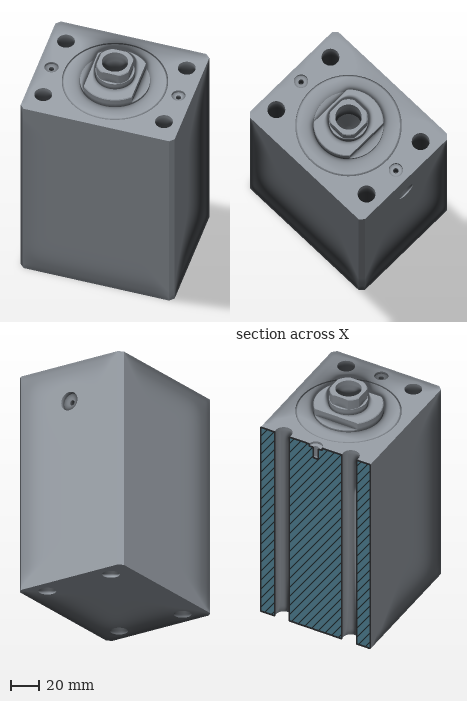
import cadquery as cq
import math

total_height = 184.9
body_length = 115.0
body_width = 90.0
body_height = 165.0
corner_chamfer = 3.1

bolt_hole_diameter = 12.8
bolt_spacing_x = 90.2
bolt_spacing_y = 55.1

port_drill_diameter = 3.9
port_drill_depth = 9.2
top_port_spacing = 94.9
top_port_diameter = 10.2
top_port_recess = 1.8
side_port_diameter = 14.0
side_port_recess = 3.7
side_port_height = 136.0

groove_diameter = 76.0
groove_depth = 1.3

rod_diameter = 50.1
rod_bottom = 111.0
rod_top = 172.0
rod_edge_chamfer = 0.5
rod_bore_chamfer = 0.4
wrench_flat_width = 35.9
wrench_flat_bottom = body_height + 1.3

shank_diameter = 28.0
shank_bottom = 149.8
shank_top = 176.5
shank_bore_chamfer = 0.5
square_width = 24.0
square_corner_diameter = 27.2
square_edge_chamfer = 0.5
thread_hole_diameter = 18.9
thread_hole_depth = 22.2
drill_point_angle = 118.0


def cylinder(diameter, bottom, top):
    """Upright cylinder on the Z axis between two heights."""
    return cq.Workplane("XY").workplane(offset=bottom).circle(diameter / 2).extrude(top - bottom)


def cone(bottom_diameter, top_diameter, bottom, top):
    """Upright truncated cone on the Z axis between two heights."""
    solid = cq.Solid.makeCone(
        bottom_diameter / 2,
        top_diameter / 2,
        top - bottom,
        pnt=cq.Vector(0, 0, bottom),
    )
    return cq.Workplane(solid)


def bore_cutter(diameter, bottom, top, entry_chamfer):
    """Blind bore with a chamfered mouth at its top."""
    mouth = cone(diameter, diameter + 2 * entry_chamfer, top - entry_chamfer, top)
    return cylinder(diameter, bottom, top).union(mouth)


def groove_cutter():
    """Ring with a straight outer wall and a 45 degree inner wall."""
    groove_bottom = body_height - groove_depth
    island = cone(groove_diameter, groove_diameter - 2 * groove_depth, groove_bottom, body_height)
    return cylinder(groove_diameter, groove_bottom, body_height).cut(island)


def port_cutter(recess_diameter, recess_depth):
    """Stepped port opening at the origin and running down -Z."""
    recess = cylinder(recess_diameter, -recess_depth, 0)
    drilling = cylinder(port_drill_diameter, -recess_depth - port_drill_depth, 0)
    return recess.union(drilling)


def make_housing():
    block = (
        cq.Workplane("XY")
        .rect(body_length, body_width)
        .extrude(body_height)
        .edges("|Z")
        .chamfer(corner_chamfer)
    )
    bolt_holes = (
        cq.Workplane("XY")
        .rect(bolt_spacing_x, bolt_spacing_y, forConstruction=True)
        .vertices()
        .circle(bolt_hole_diameter / 2)
        .extrude(body_height)
    )
    block = block.cut(bolt_holes)
    block = block.cut(groove_cutter())
    block = block.cut(bore_cutter(rod_diameter, rod_bottom, body_height, rod_bore_chamfer))

    top_port = port_cutter(top_port_diameter, top_port_recess)
    for side in (-1, 1):
        block = block.cut(top_port.translate((side * top_port_spacing / 2, 0, body_height)))

    side_port = (
        port_cutter(side_port_diameter, side_port_recess)
        .rotate((0, 0, 0), (0, 1, 0), -90)
        .translate((-body_length / 2, 0, side_port_height))
    )
    return block.cut(side_port)


def make_thread_hole():
    """Blind hole from the adapter's top end, finished with a conical drill point."""
    radius = thread_hole_diameter / 2
    floor = total_height - thread_hole_depth
    point_depth = radius / math.tan(math.radians(drill_point_angle / 2))
    return (
        cq.Workplane("XZ")
        .moveTo(0, total_height)
        .lineTo(radius, total_height)
        .lineTo(radius, floor)
        .lineTo(0, floor - point_depth)
        .close()
        .revolve(360, (0, 0, 0), (0, 1, 0))
    )


def make_piston_rod():
    rod = cylinder(rod_diameter, rod_bottom, rod_top).faces(">Z").edges().chamfer(rod_edge_chamfer)

    between_flats = (
        cq.Workplane("XY")
        .workplane(offset=wrench_flat_bottom)
        .rect(wrench_flat_width, rod_diameter)
        .extrude(rod_top - wrench_flat_bottom)
    )
    round_stretch = cylinder(rod_diameter, rod_bottom, wrench_flat_bottom)
    rod = rod.intersect(round_stretch.union(between_flats))

    return rod.cut(bore_cutter(shank_diameter, shank_bottom, rod_top, shank_bore_chamfer))


def make_adapter():
    shank = cylinder(shank_diameter, shank_bottom, shank_top)

    square = (
        cq.Workplane("XY")
        .workplane(offset=shank_top)
        .rect(square_width, square_width)
        .extrude(total_height - shank_top)
    )
    square_end = (
        cylinder(square_corner_diameter, shank_top, total_height)
        .faces(">Z")
        .edges()
        .chamfer(square_edge_chamfer)
        .intersect(square)
    )
    return shank.union(square_end).cut(make_thread_hole())


housing = make_housing()
piston_rod = make_piston_rod()
adapter = make_adapter()

result = cq.Compound.makeCompound([housing.val(), piston_rod.val(), adapter.val()])